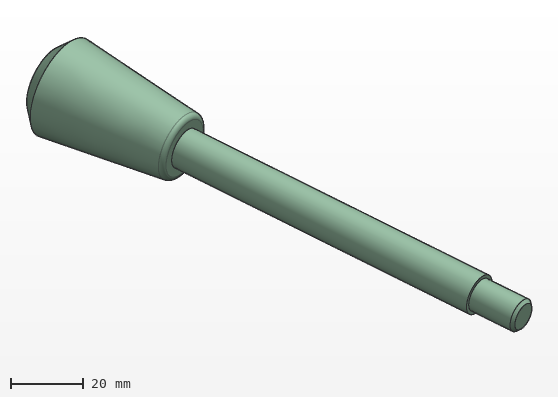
import cadquery as cq

total_length = 161.0
x_start = -total_length / 2
x_end = total_length / 2

knob_length = 46.0
knob_diameter = 30.0
knob_neck_diameter = 20.3
knob_face_diameter = 21.0
knob_bevel = (knob_diameter - knob_face_diameter) / 2
knob_neck_round = 1.6

rod_diameter = 12.0
tip_diameter = 10.0
tip_length = 15.0
tip_chamfer = 1.0


def make_knob():
    """Cone with a 45 degree bevel on its wide end and a rounded neck edge."""
    profile = (
        cq.Workplane("XY")
        .moveTo(x_start, 0)
        .lineTo(x_start, knob_face_diameter / 2)
        .lineTo(x_start + knob_bevel, knob_diameter / 2)
        .lineTo(x_start + knob_length, knob_neck_diameter / 2)
        .lineTo(x_start + knob_length, 0)
        .close()
    )
    knob = profile.revolve(360, (0, 0, 0), (1, 0, 0))
    return knob.faces(">X").edges().fillet(knob_neck_round)


def make_rod():
    """Cylinder from the knob neck to the tip, with a stepped-down end."""
    rod_start = x_start + knob_length
    rod_length = total_length - knob_length - tip_length
    rod = cq.Workplane("YZ", origin=(rod_start, 0, 0)).circle(rod_diameter / 2).extrude(rod_length)
    tip = (
        cq.Workplane("YZ", origin=(x_end - tip_length, 0, 0))
        .circle(tip_diameter / 2)
        .extrude(tip_length)
        .faces(">X")
        .chamfer(tip_chamfer)
    )
    return rod.union(tip)


result = make_knob().union(make_rod())